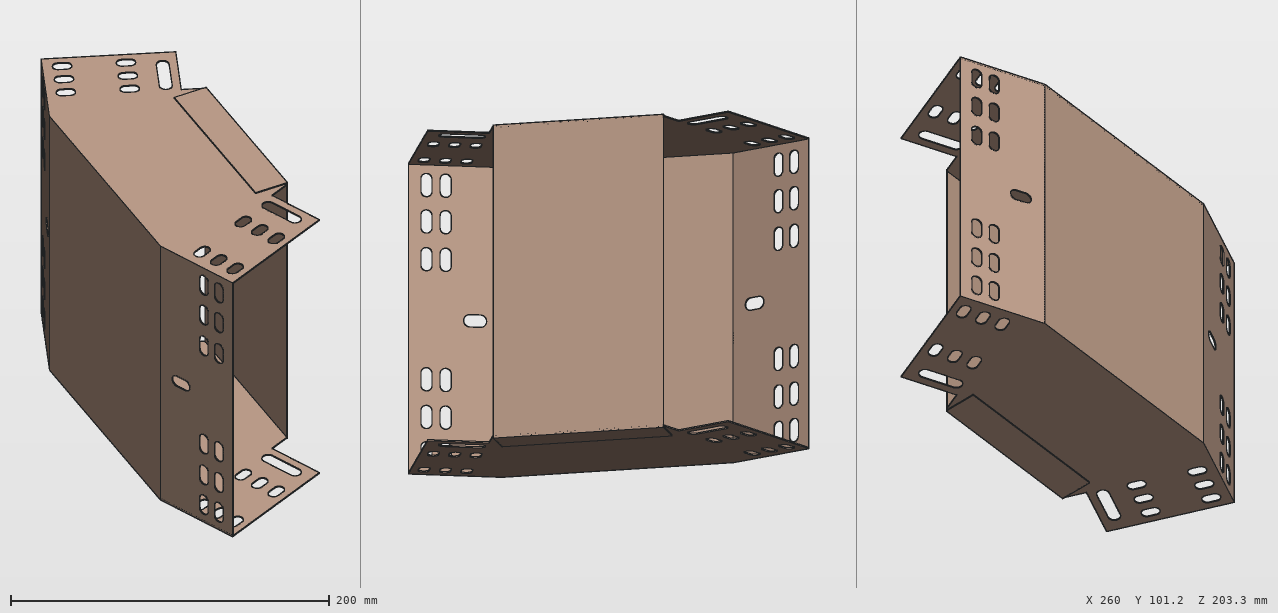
import cadquery as cq
import math

sheet = 0.8
overall_length = 260.0
overall_height = 203.3
bend_angle = 22.5
floor_length = 150.5

flange_depth = 85.0
lug_length = 39.0
cover_inner_y = 99.8
cover_length = 110.5
cover_lip_depth = 22.5

flange_slot_along = (8.3, 21.8, 35.4)
flange_slot_across = (12.5, 52.8)
flange_slot_size = (12.2, 7.0)
long_slot_position = (23.1, 75.7)
long_slot_size = (30.0, 8.0)

wing_slot_along = (11.5, 23.7)
wing_slot_heights = (39.0, 63.5, 87.0)
wing_slot_size = (15.0, 7.0)
middle_slot_along = 42.5
middle_slot_size = (14.5, 8.0)

cos_bend = math.cos(math.radians(bend_angle))
sin_bend = math.sin(math.radians(bend_angle))
tan_bend = sin_bend / cos_bend
tan_half_bend = math.tan(math.radians(bend_angle / 2))

half_floor = floor_length / 2
half_length = overall_length / 2
tip_y = (half_length - half_floor) * tan_bend
channel_height = overall_height - 2 * sheet
half_height = channel_height / 2
inside_height = channel_height - 2 * sheet
cut_depth = 4 * sheet


def wing_point(along, across):
    """Plan position on the +X wing: distance inward from its tip, and square to its outer face."""
    x = half_length - along * cos_bend - across * sin_bend
    y = tip_y - along * sin_bend + across * cos_bend
    return (x, y)


def mirrored_outline(right_half):
    """Closed outline from its +X half, listed from the front edge to the back edge."""
    left_half = [(-x, y) for x, y in reversed(right_half)]
    return right_half + left_half


def extruded_plan(points, height):
    """Prism of a plan outline, centred on Z = 0."""
    return cq.Workplane("XY").polyline(points).close().extrude(height / 2, both=True)


def channel_blank():
    """Bent floor with two side flanges, before the slots are cut."""
    notch_corner = wing_point(lug_length, flange_depth)
    notch_top_x = notch_corner[0] - (cover_inner_y - notch_corner[1]) * tan_bend
    flange_outline = mirrored_outline([
        (half_floor, 0),
        wing_point(0, 0),
        wing_point(0, flange_depth),
        notch_corner,
        (notch_top_x, cover_inner_y),
    ])

    inner_bend_x = half_floor - sheet * tan_half_bend
    past_tip = -flange_depth
    inside_outline = mirrored_outline([
        (inner_bend_x, sheet),
        wing_point(past_tip, sheet),
        wing_point(past_tip, 2 * flange_depth),
    ])
    inside = extruded_plan(inside_outline, inside_height)
    return extruded_plan(flange_outline, channel_height).cut(inside)


def flange_slot(position, size, turn):
    """Cutter for the same slot through both side flanges."""
    return (
        cq.Workplane("XY")
        .center(*wing_point(*position))
        .slot2D(*size, angle=turn)
        .extrude(channel_height, both=True)
    )


def wing_slot(along, height, size, turn):
    """Cutter for a slot square through the +X wing."""
    x, y = wing_point(along, 0)
    wing_plane = cq.Plane(
        origin=(x, y, height),
        xDir=(cos_bend, sin_bend, 0),
        normal=(-sin_bend, cos_bend, 0),
    )
    return cq.Workplane(wing_plane).slot2D(*size, angle=turn).extrude(cut_depth, both=True)


def right_hand_slots():
    """All slot cutters of the +X half of the channel."""
    slots = [
        flange_slot(long_slot_position, long_slot_size, bend_angle),
        wing_slot(middle_slot_along, 0, middle_slot_size, 0),
    ]
    for along in flange_slot_along:
        for across in flange_slot_across:
            slots.append(flange_slot((along, across), flange_slot_size, 90 + bend_angle))
    for along in wing_slot_along:
        for height in wing_slot_heights:
            slots.append(wing_slot(along, height, wing_slot_size, 90))
            slots.append(wing_slot(along, -height, wing_slot_size, 90))
    return slots


def make_channel():
    """Slotted channel; each slot is repeated on the -X half."""
    channel = channel_blank()
    for slot in right_hand_slots():
        channel = channel.cut(slot).cut(slot.mirror("YZ"))
    return channel


def make_cover():
    """U-shaped cover that closes the back and laps over both side flanges."""
    outer_y = cover_inner_y + sheet
    lip_end_y = outer_y - cover_lip_depth
    half_cover_height = half_height + sheet
    profile = [
        (lip_end_y, half_cover_height),
        (outer_y, half_cover_height),
        (outer_y, -half_cover_height),
        (lip_end_y, -half_cover_height),
        (lip_end_y, -half_height),
        (cover_inner_y, -half_height),
        (cover_inner_y, half_height),
        (lip_end_y, half_height),
    ]
    return cq.Workplane("YZ").polyline(profile).close().extrude(cover_length / 2, both=True)


channel = make_channel()
cover = make_cover()

result = cq.Compound.makeCompound([channel.val(), cover.val()])